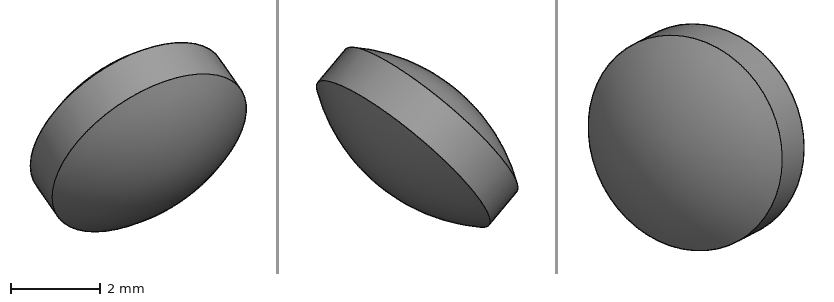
import cadquery as cq
import math

diameter = 5.0
edge_thickness = 1.0
surface_radius = 4.2

rim_radius = diameter / 2
half_edge = edge_thickness / 2


def sag(height):
    """Drop of a spherical face from its vertex at a given height off the axis."""
    return surface_radius - math.sqrt(surface_radius**2 - height**2)


vertex_x = half_edge + sag(rim_radius)
arc_mid_height = rim_radius / 2
arc_mid_x = vertex_x - sag(arc_mid_height)


def make_lens():
    """Revolve the half section, on the -Y side of the axis, about X."""
    half_section = (
        cq.Workplane("XY")
        .moveTo(-vertex_x, 0)
        .threePointArc((-arc_mid_x, -arc_mid_height), (-half_edge, -rim_radius))
        .lineTo(half_edge, -rim_radius)
        .threePointArc((arc_mid_x, -arc_mid_height), (vertex_x, 0))
        .close()
    )
    return half_section.revolve(360, (0, 0, 0), (1, 0, 0))


result = make_lens()